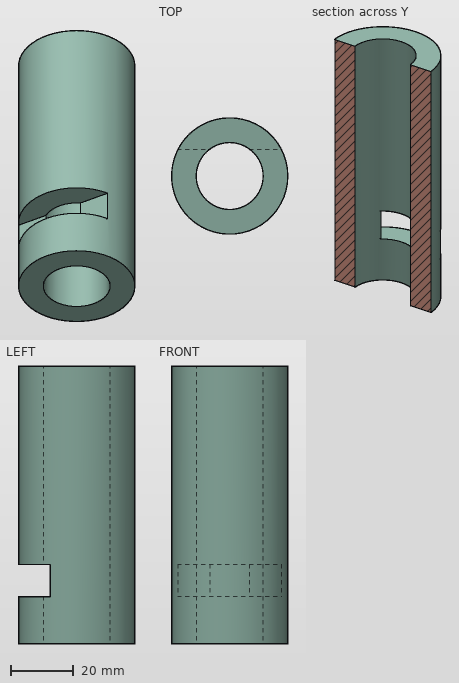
import cadquery as cq

outer_diameter = 37.0
bore_diameter = 21.2
length = 88.2

slot_depth = 10.0
slot_height = 10.2
slot_bottom = 15.0


def make_tube():
    """Plain round sleeve standing on Z = 0, with a through bore."""
    profile = cq.Workplane("XY").circle(outer_diameter / 2).circle(bore_diameter / 2)
    return profile.extrude(length)


def make_slot_cutter():
    """Block that clears the +Y side down to the slot floor and opens into the bore."""
    floor_y = outer_diameter / 2 - slot_depth
    return (
        cq.Workplane("XY")
        .box(outer_diameter, slot_depth, slot_height, centered=(True, False, False))
        .translate((0, floor_y, slot_bottom))
    )


result = make_tube().cut(make_slot_cutter())